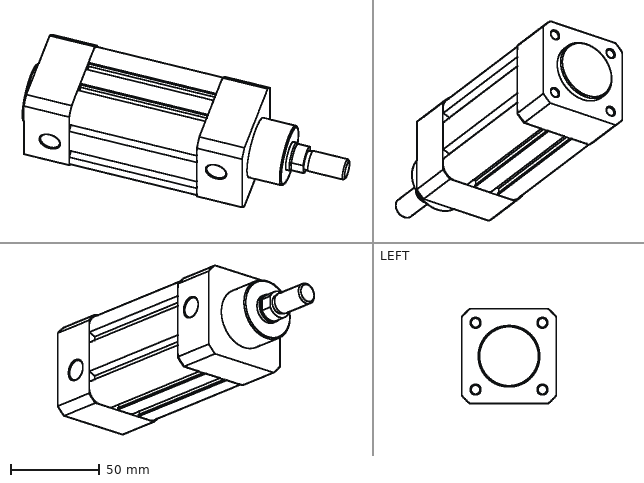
import cadquery as cq


total_length = 188.0
body_width = 54.0
corner_diameter = 70.0

rear_boss_length = 4.1
cap_length = 26.9
tube_length = 76.0
front_boss_length = 20.1
rear_cap_start = rear_boss_length
tube_start = rear_cap_start + cap_length
front_cap_start = tube_start + tube_length
front_boss_start = front_cap_start + cap_length
rod_start = front_boss_start + front_boss_length

boss_diameter = 35.0
boss_chamfer = 0.8

mount_hole_spacing = 38.0
mount_hole_diameter = 5.0
mount_hole_depth = 15.0
mount_hole_chamfer = 0.49

port_diameter = 11.5
port_depth = 17.0
port_chamfer = 0.49
port_offset_z = 4.7
port_to_outer_face = 15.5

tube_width = 53.5
tube_corner_radius = 8.0
t_slot_spacing = 15.8
t_slot_mouth = 5.0
t_slot_lip = 1.1
t_slot_undercut = 0.8
t_slot_depth = 4.5
groove_spacing = 23.9
groove_mouth = 6.2
groove_floor = 2.8
groove_depth = 4.1

rod_diameter = 16.5
rod_length = 2.0
taper_length = 1.0
taper_flats_width = 15.2
flats_diameter = 15.6
flats_width = 14.1
flats_length = 7.0
neck_diameter = 11.0
neck_length = 1.0
thread_diameter = 12.0
thread_lead_in = 1.5
thread_chamfer = 1.0


def boss(start, length, chamfer_selector):
    """Round boss along X with a chamfer at its free end."""
    disc = cq.Workplane("YZ", origin=(start, 0, 0)).circle(boss_diameter / 2).extrude(length)
    return disc.faces(chamfer_selector).chamfer(boss_chamfer)


def cap_block(start):
    """Square block with its corners turned round."""
    block = cq.Workplane("YZ", origin=(start, 0, 0)).rect(body_width, body_width).extrude(cap_length)
    turned = cq.Workplane("YZ", origin=(start, 0, 0)).circle(corner_diameter / 2).extrude(cap_length)
    return block.intersect(turned)


def chamfered_hole(mouth, direction, diameter, depth, chamfer):
    """Cutter for a blind hole with a chamfered mouth."""
    point = cq.Vector(*mouth)
    axis = cq.Vector(*direction)
    radius = diameter / 2
    bore = cq.Solid.makeCylinder(radius, depth, point, axis)
    countersink = cq.Solid.makeCone(radius + chamfer, radius, chamfer, point, axis)
    return bore.fuse(countersink)


def port(x, z):
    return chamfered_hole((x, -body_width / 2, z), (0, 1, 0), port_diameter, port_depth, port_chamfer)


def make_rear_cap():
    cap = cap_block(rear_cap_start).union(boss(0, rear_boss_length, "<X"))
    half_spacing = mount_hole_spacing / 2
    for y in (-half_spacing, half_spacing):
        for z in (-half_spacing, half_spacing):
            cap = cap.cut(chamfered_hole((rear_cap_start, y, z), (1, 0, 0), mount_hole_diameter,
                                         mount_hole_depth, mount_hole_chamfer))
    return cap.cut(port(rear_cap_start + port_to_outer_face, -port_offset_z))


def make_front_cap():
    cap = cap_block(front_cap_start).union(boss(front_boss_start, front_boss_length, ">X"))
    return cap.cut(port(front_boss_start - port_to_outer_face, port_offset_z))


def t_slot(y):
    """Cutter for an undercut slot in the top face of the tube."""
    top = tube_width / 2
    mouth_half = t_slot_mouth / 2
    inner_half = mouth_half + t_slot_undercut
    mouth = (
        cq.Workplane("YZ", origin=(tube_start, y, top - t_slot_depth / 2))
        .rect(2 * mouth_half, t_slot_depth)
        .extrude(tube_length)
    )
    inner_height = t_slot_depth - t_slot_lip
    inner = (
        cq.Workplane("YZ", origin=(tube_start, y, top - t_slot_lip - inner_height / 2))
        .rect(2 * inner_half, inner_height)
        .extrude(tube_length)
    )
    return mouth.union(inner)


def side_groove(z):
    """Cutter for a tapered groove in the -Y face of the tube."""
    face = -tube_width / 2
    return (
        cq.Workplane("YZ", origin=(tube_start, face, z))
        .moveTo(0, -groove_mouth / 2)
        .lineTo(groove_depth, -groove_floor / 2)
        .lineTo(groove_depth, groove_floor / 2)
        .lineTo(0, groove_mouth / 2)
        .close()
        .extrude(tube_length)
    )


def make_tube():
    tube = (
        cq.Workplane("YZ", origin=(tube_start, 0, 0))
        .rect(tube_width, tube_width)
        .extrude(tube_length)
        .edges("|X")
        .fillet(tube_corner_radius)
    )
    for side in (-1, 1):
        slot = t_slot(side * t_slot_spacing / 2)
        groove = side_groove(side * groove_spacing / 2)
        tube = tube.cut(slot).cut(slot.mirror("XY"))
        tube = tube.cut(groove).cut(groove.mirror("XZ"))
    return tube


def cut_flats(shaft, start, length, width_across):
    """Mill flats on the -Y and +Y sides of the shaft, leaving width_across between them."""
    cut_depth = (rod_diameter - width_across) / 2
    for side in (-1, 1):
        y_middle = side * (width_across + cut_depth) / 2
        cutter = cq.Workplane("XY", origin=(start + length / 2, y_middle, 0)).box(
            length, cut_depth, rod_diameter
        )
        shaft = shaft.cut(cutter)
    return shaft


def make_rod():
    taper_start = rod_start + rod_length
    flats_start = taper_start + taper_length
    neck_start = flats_start + flats_length
    lead_in_start = neck_start + neck_length
    thread_start = lead_in_start + thread_lead_in
    rod = (
        cq.Workplane("XY")
        .moveTo(rod_start, 0)
        .lineTo(rod_start, rod_diameter / 2)
        .lineTo(taper_start, rod_diameter / 2)
        .lineTo(flats_start, flats_diameter / 2)
        .lineTo(neck_start, flats_diameter / 2)
        .lineTo(neck_start, neck_diameter / 2)
        .lineTo(lead_in_start, neck_diameter / 2)
        .tangentArcPoint((thread_start, thread_diameter / 2), relative=False)
        .lineTo(total_length - thread_chamfer, thread_diameter / 2)
        .lineTo(total_length, thread_diameter / 2 - thread_chamfer)
        .lineTo(total_length, 0)
        .close()
        .revolve(360, (0, 0, 0), (1, 0, 0))
    )
    rod = cut_flats(rod, taper_start, taper_length, taper_flats_width)
    return cut_flats(rod, flats_start, flats_length, flats_width)


rear_cap = make_rear_cap()
tube = make_tube()
front_cap = make_front_cap()
rod = make_rod()

result = cq.Compound.makeCompound([rear_cap.val(), tube.val(), front_cap.val(), rod.val()])